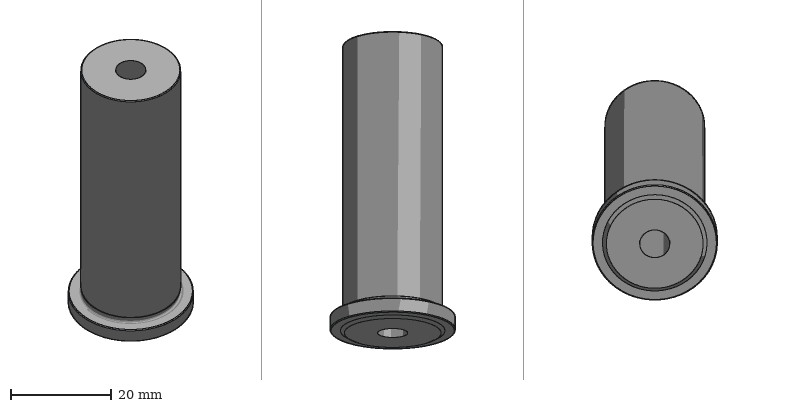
import cadquery as cq

total_height = 60.0
body_diameter = 20.0
body_radius = body_diameter / 2
bore_radius = 3.0
flange_diameter = 25.0
flange_radius = flange_diameter / 2
edge_chamfer = 0.2

foot_height = 0.5
foot_end_radius = 9.65
foot_root_radius = 10.45

flange_thickness = 3.0
flange_top = foot_height + flange_thickness

undercut_height = 1.15
neck_depth = 0.1
face_depth = 0.2
undercut_face_radius = 10.6
undercut_top = flange_top + undercut_height
neck_radius = body_radius - neck_depth
undercut_floor = flange_top - face_depth
corner_radius = 0.3


def make_turned_body():
    """Revolve the outer half-profile, with the undercut corner still sharp."""
    profile = (
        cq.Workplane("XZ")
        .moveTo(0, 0)
        .lineTo(foot_end_radius, 0)
        .lineTo(foot_root_radius, foot_height)
        .lineTo(flange_radius - edge_chamfer, foot_height)
        .lineTo(flange_radius, foot_height + edge_chamfer)
        .lineTo(flange_radius, flange_top - edge_chamfer)
        .lineTo(flange_radius - edge_chamfer, flange_top)
        .lineTo(undercut_face_radius, flange_top)
        .lineTo(neck_radius, undercut_floor)
        .lineTo(neck_radius, undercut_top)
        .lineTo(body_radius, undercut_top)
        .lineTo(body_radius, total_height - edge_chamfer)
        .lineTo(body_radius - edge_chamfer, total_height)
        .lineTo(0, total_height)
        .close()
    )
    return profile.revolve(360, (0, 0, 0), (0, 1, 0))


def round_undercut_corner(body):
    """Round the sharp inner corner where the neck meets the flange."""
    search_margin = 0.05
    corner = cq.selectors.BoxSelector(
        (-flange_radius, -flange_radius, undercut_floor - search_margin),
        (flange_radius, flange_radius, undercut_floor + search_margin),
        boundingbox=True,
    )
    return body.edges(corner).fillet(corner_radius)


def make_bore():
    """Through bore along the axis."""
    return cq.Workplane("XY").circle(bore_radius).extrude(total_height)


result = round_undercut_corner(make_turned_body()).cut(make_bore())